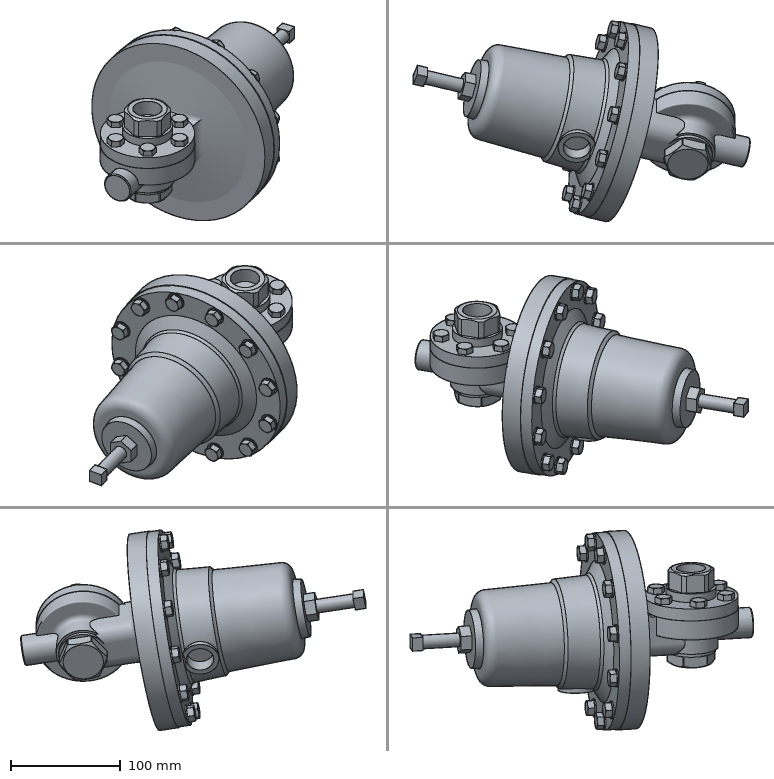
import cadquery as cq
import math


overall_length = 315.7

base_radius = 90.5
base_top = 17.7
cover_radius = 90.0
cover_top = 28.5
cone_radius = 72.0
cone_tip = -8.8

skirt_radius = 64.7
root_end, root_radius = 35.5, 53.7
lower_start, lower_start_radius = 38.2, 52.0
lower_end, lower_end_radius = 68.0, 50.2
upper_start, upper_start_radius = 70.7, 47.0
bonnet_top, bonnet_top_radius = 141.8, 44.0
bonnet_round = 9.8
collar_top, collar_top_radius = 149.0, 26.5
collar_base_radius = 27.5

vent_radius = 17.0
vent_y = 50.5
vent_reach = 52.7
vent_tilt = 5.0
vent_bore_radius = 12.3
vent_bore_depth = 12.5

locknut_flats = 22.0
locknut_top = 159.0
rod_radius = 6.3
head_start = 193.5
stem_end = 203.3

cover_bolt_count = 12
cover_bolt_circle = 81.5
cover_bolt_flats = 13.3
cover_bolt_top = 36.0
pad_radius = 8.2
pad_top = 29.7
bolt_chamfer = 0.5

valve_y = -56.8
lid_radius = 43.0
lid_bottom = 17.7
lid_top = 29.0
bowl_radius = 43.3
bowl_bottom = -0.5
bowl_round = 1.3
neck_radius = 24.5
neck_fillet = 5.5
neck_bottom = -19.5
seat_bottom, seat_radius = -23.0, 22.5
lid_bolt_count = 6
lid_bolt_circle = 33.5
lid_bolt_flats = 13.5
lid_bolt_top = 34.7

port_flats = 38.8
plug_bottom = -34.5
plug_corner_radius = 22.0
plug_face_radius = 18.3
plug_chamfer = 2.2
inlet_boss_radius = 22.7
inlet_boss_top = 37.3
inlet_top = 55.0
inlet_corner_radius = 21.0
inlet_face_radius = 18.0
inlet_chamfer = 1.5
inlet_bore_radius = 13.3
inlet_bore_depth = 14.2
outlet_radius = 14.0
outlet_end = stem_end - overall_length
outlet_chamfer = 1.0

arm_half_width = 22.5
arm_top = 19.5
arm_bottom = seat_bottom
arm_corner_round = 13.5
arm_fillet = 6.0
lid_clearance_radius = 47.7


def turned(*profile):
    """Solid of revolution about Z from (radius, height) points, closed along the axis."""
    axis_start = (0, profile[0][1])
    axis_end = (0, profile[-1][1])
    points = list(dict.fromkeys([axis_start, *profile, axis_end]))
    return cq.Workplane("XZ").polyline(points).close().revolve(360, (0, 0, 0), (0, 1, 0))


def cylinder(radius, start, end):
    return turned((radius, start), (radius, end))


def hex_prism(flats, start, end, first_corner=90):
    """Hexagonal prism about Z with its first corner at the given angle from +X."""
    corner_radius = flats / math.sqrt(3)
    angles = [math.radians(first_corner + 60 * i) for i in range(6)]
    corners = [(corner_radius * math.cos(a), corner_radius * math.sin(a)) for a in angles]
    return cq.Workplane("XY").workplane(offset=start).polyline(corners).close().extrude(end - start)


def bolt_head(flats, start, end, first_corner):
    """Hexagonal head whose top corners are chamfered down to the inscribed circle."""
    corner_radius = flats / math.sqrt(3)
    rounded = turned((corner_radius, start), (corner_radius, end - bolt_chamfer), (flats / 2, end))
    return hex_prism(flats, start, end, first_corner).intersect(rounded)


def on_main_axis(solid):
    """Turn a solid built about Z so that its height runs along +Y."""
    return solid.rotate((0, 0, 0), (1, 0, 0), -90)


def on_valve_axis(solid):
    """Move a solid built about Z onto the valve axis."""
    return solid.translate((0, valve_y, 0))


def on_vent_axis(solid):
    """Place a solid built about Z on the vent axis, its height pointing away from the bonnet."""
    return solid.rotate((0, 0, 0), (0, 1, 0), 180 + vent_tilt).translate((0, vent_y, 0))


def main_flange_with_arm():
    flange = on_main_axis(
        turned((0, cone_tip), (cone_radius, 0), (base_radius, 0), (base_radius, base_top)))
    arm = (
        cq.Workplane("XY")
        .box(2 * arm_half_width, -valve_y, arm_top - arm_bottom, centered=(True, False, False))
        .translate((0, valve_y, arm_bottom))
        .edges("|Y and <Z")
        .fillet(arm_corner_round)
    )
    margin = 3.0
    arm_root = cq.selectors.BoxSelector(
        (-arm_half_width - margin, cone_tip - margin, arm_bottom - margin),
        (arm_half_width + margin, -margin, arm_top + margin),
    )
    body = flange.union(arm).edges(arm_root).edges("not |Y").fillet(arm_fillet)
    return body.cut(on_valve_axis(cylinder(lid_clearance_radius, lid_bottom, lid_top)))


def bonnet():
    shell = turned(
        (cover_radius, base_top),
        (cover_radius, cover_top),
        (skirt_radius, cover_top),
        (root_radius, root_end),
        (lower_start_radius, lower_start),
        (lower_end_radius, lower_end),
        (upper_start_radius, upper_start),
        (bonnet_top_radius, bonnet_top),
    )
    shell = shell.edges(">Z").fillet(bonnet_round)
    collar = turned((collar_base_radius, bonnet_top), (collar_top_radius, collar_top))
    return on_main_axis(shell.union(collar))


def stem():
    locknut = hex_prism(locknut_flats, collar_top, locknut_top)
    rod = cylinder(rod_radius, locknut_top, head_start)
    head_size = 2 * rod_radius
    head = cq.Workplane("XY").workplane(offset=head_start).rect(head_size, head_size)
    return on_main_axis(locknut.union(rod).union(head.extrude(stem_end - head_start)))


def cover_bolts():
    """Ring of bolt heads, each on a low round pad."""
    pad = cylinder(pad_radius, base_top, pad_top)
    bolt = pad.union(bolt_head(cover_bolt_flats, base_top, cover_bolt_top, first_corner=0))
    half_pitch = 180 / cover_bolt_count
    ring = cq.Workplane("XY").polarArray(cover_bolt_circle, half_pitch, 360, cover_bolt_count)
    return on_main_axis(ring.eachpoint(bolt.val(), combine=True))


def lid_bolts():
    ring = cq.Workplane("XY").polarArray(lid_bolt_circle, 0, 360, lid_bolt_count)
    bolt = bolt_head(lid_bolt_flats, lid_bottom, lid_bolt_top, first_corner=90)
    return on_valve_axis(ring.eachpoint(bolt.val(), combine=True))


def valve_body():
    lid = cylinder(lid_radius, lid_bottom, lid_top)
    bowl = (
        cq.Workplane("XZ")
        .moveTo(0, lid_bottom)
        .lineTo(bowl_radius, lid_bottom)
        .lineTo(bowl_radius, bowl_bottom + bowl_round)
        .radiusArc((bowl_radius - bowl_round, bowl_bottom), bowl_round)
        .lineTo(neck_radius + neck_fillet, bowl_bottom)
        .radiusArc((neck_radius, bowl_bottom - neck_fillet), -neck_fillet)
        .lineTo(neck_radius, neck_bottom)
        .lineTo(seat_radius, neck_bottom)
        .lineTo(seat_radius, seat_bottom)
        .lineTo(0, seat_bottom)
        .close()
        .revolve(360, (0, 0, 0), (0, 1, 0))
    )
    return on_valve_axis(lid.union(bowl))


def inlet():
    boss = cylinder(inlet_boss_radius, lid_top, inlet_boss_top)
    rounded = turned(
        (inlet_corner_radius, inlet_boss_top),
        (inlet_corner_radius, inlet_top - inlet_chamfer),
        (inlet_face_radius, inlet_top),
    )
    nut = hex_prism(port_flats, inlet_boss_top, inlet_top).intersect(rounded)
    return on_valve_axis(boss.union(nut))


def plug():
    rounded = turned(
        (plug_face_radius, plug_bottom),
        (plug_corner_radius, plug_bottom + plug_chamfer),
        (plug_corner_radius, seat_bottom),
    )
    return on_valve_axis(hex_prism(port_flats, plug_bottom, seat_bottom).intersect(rounded))


def outlet():
    tube = turned(
        (outlet_radius - outlet_chamfer, outlet_end),
        (outlet_radius, outlet_end + outlet_chamfer),
        (outlet_radius, valve_y),
    )
    return on_main_axis(tube)


sections = (
    bonnet(),
    on_vent_axis(cylinder(vent_radius, 0, vent_reach)),
    stem(),
    cover_bolts(),
    valve_body(),
    lid_bolts(),
    inlet(),
    plug(),
    outlet(),
)
result = main_flange_with_arm()
for section in sections:
    result = result.union(section)

inlet_bore = on_valve_axis(cylinder(inlet_bore_radius, inlet_top - inlet_bore_depth, inlet_top))
vent_bore = on_vent_axis(cylinder(vent_bore_radius, vent_reach - vent_bore_depth, vent_reach))
result = result.cut(inlet_bore).cut(vent_bore)